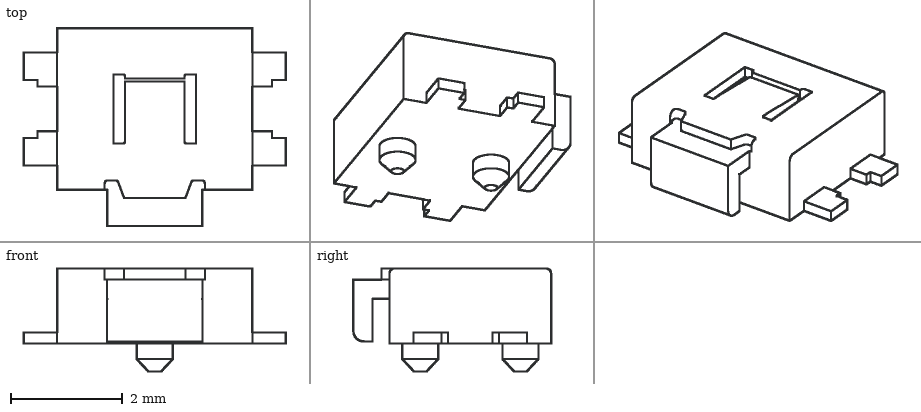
import cadquery as cq

body_width = 3.495
body_depth = 2.9
body_height = 1.35
edge_radius = 0.1
front_y = -body_depth / 2

plate_thickness = 0.2
plate_floor = body_height - plate_thickness

lead_span = 4.7
lead_thickness = 0.2
lead_outer_y = 1.015
lead_inner_y = 0.4
lead_step_y = 0.515
lead_step_inset = 0.245

pin_diameter = 0.65
pin_tip_diameter = 0.225
pin_straight = 0.275
pin_length = 0.505
pin_offset = 0.9

actuator_width = 1.71
actuator_reach = 0.65
actuator_leg = 0.35
arm_underside = 0.805
leg_bottom = 0.038
leg_radius = 0.19

notch_outer_x = 0.9
notch_depth = 0.17
notch_radius = 0.055
tab_root_x = 0.667
tab_end_x = 0.55
tab_reach = 0.145

slot_outer_x = 0.743
tongue_half_width = 0.535
slot_half_length = 0.618
slot_corner_radius = 0.03
gap_back_y = 0.54
tongue_tip_y = 0.49
tongue_bend_y = -0.432
tongue_drop = 0.07


def mirrored_x(shape):
    """Join a shape with its mirror image across the YZ plane."""
    return shape.union(shape.mirror("YZ"))


def make_body():
    body = cq.Workplane("XY").box(body_width, body_depth, body_height, centered=(True, True, False))
    return body.edges("|X and >Z").fillet(edge_radius)


def make_leads():
    inner_x = body_width / 2
    outer_x = lead_span / 2
    step_x = outer_x - lead_step_inset
    outline = [
        (inner_x, lead_outer_y),
        (outer_x, lead_outer_y),
        (outer_x, lead_step_y),
        (step_x, lead_step_y),
        (step_x, lead_inner_y),
        (inner_x, lead_inner_y),
    ]
    lead = cq.Workplane("XY").polyline(outline).close().extrude(lead_thickness)
    return mirrored_x(lead.union(lead.mirror("XZ")))


def make_pin(y):
    profile = [
        (0, 0),
        (pin_diameter / 2, 0),
        (pin_diameter / 2, -pin_straight),
        (pin_tip_diameter / 2, -pin_length),
        (0, -pin_length),
    ]
    pin = cq.Workplane("XZ").polyline(profile).close().revolve(360, (0, 0), (0, 1))
    return pin.translate((0, y, 0))


def make_actuator():
    tip_y = front_y - actuator_reach
    leg_y = tip_y + actuator_leg
    outline = [
        (front_y, plate_floor),
        (tip_y, plate_floor),
        (tip_y, leg_bottom),
        (leg_y, leg_bottom),
        (leg_y, arm_underside),
        (front_y, arm_underside),
    ]
    actuator = cq.Workplane("YZ").polyline(outline).close().extrude(actuator_width / 2, both=True)
    return actuator.edges("|X and <Z and <Y").fillet(leg_radius)


def make_tab():
    back_y = front_y + notch_depth
    end_y = front_y - tab_reach
    outline = [
        (-tab_root_x, back_y),
        (tab_root_x, back_y),
        (tab_end_x, end_y),
        (-tab_end_x, end_y),
    ]
    return cq.Workplane("XY", origin=(0, 0, plate_floor)).polyline(outline).close().extrude(plate_thickness)


def make_notches():
    back_y = front_y + notch_depth
    end_y = front_y - tab_reach
    outline = [
        (tab_root_x, back_y),
        (notch_outer_x, back_y),
        (notch_outer_x, end_y),
        (tab_end_x, end_y),
    ]
    notch = cq.Workplane("XY", origin=(0, 0, plate_floor)).polyline(outline).close().extrude(plate_thickness)
    back_corners = notch.faces(">Y").edges("|Z")
    return mirrored_x(back_corners.fillet(notch_radius))


def make_tongue_cut():
    slot_width = slot_outer_x - tongue_half_width
    slot = (
        cq.Workplane("XY", origin=((slot_outer_x + tongue_half_width) / 2, 0, plate_floor))
        .box(slot_width, 2 * slot_half_length, plate_thickness, centered=(True, True, False))
        .edges("|Z and <X")
        .fillet(slot_corner_radius)
    )
    profile = [
        (tongue_bend_y, body_height),
        (tongue_tip_y, body_height - tongue_drop),
        (tongue_tip_y, plate_floor),
        (gap_back_y, plate_floor),
        (gap_back_y, body_height),
    ]
    slope_and_gap = cq.Workplane("YZ").polyline(profile).close().extrude(tongue_half_width, both=True)
    return mirrored_x(slot).union(slope_and_gap)


result = (
    make_body()
    .union(make_tab())
    .cut(make_notches())
    .cut(make_tongue_cut())
    .union(make_leads())
    .union(make_actuator())
)
for pin_y in (-pin_offset, pin_offset):
    result = result.union(make_pin(pin_y))